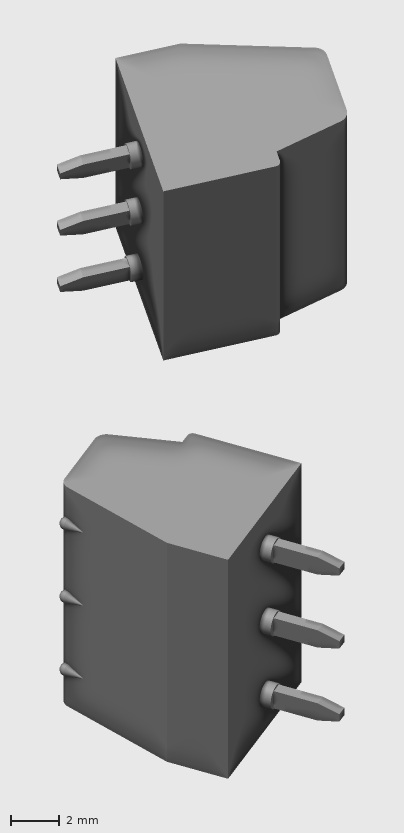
import cadquery as cq
import math

TOTAL_DEPTH = 12

BODY_WIDTH = 7.3
BODY_DEPTH = 8.5
BODY_HEIGHT = 11.42
LEFT_WALL_DEPTH = 2.8
LEFT_SLOPE = math.radians(18)
RIGHT_WALL_DEPTH = 5.1
RIGHT_LEDGE_WIDTH = 0.75
RIGHT_SLOPE = math.radians(15)
BACK_EDGE_RADIUS = 0.54
LEDGE_EDGE_RADIUS = 0.24

POLE_COUNT = 3
POLE_PITCH = BODY_HEIGHT / POLE_COUNT

PIN_X = 3.7
COLLAR_DIAMETER = 1.12
COLLAR_LENGTH = 0.5
PIN_REACH = TOTAL_DEPTH - BODY_DEPTH
PIN_THICKNESS = 0.5
PIN_HEIGHT = 0.9
PIN_TIP_HEIGHT = 0.38
PIN_TIP_LENGTH = 1.0

MARKER_TIP_Y = 7.26
MARKER_RADIUS = 0.29
MARKER_BAND_LENGTH = 0.17
MARKER_DOME_HEIGHT = 0.2

pole_heights = [(i - (POLE_COUNT - 1) / 2) * POLE_PITCH for i in range(POLE_COUNT)]


def slope_x(y):
    """X of the left sloped face at depth y."""
    return (y - LEFT_WALL_DEPTH) * math.tan(LEFT_SLOPE)


def make_housing():
    ledge_x = BODY_WIDTH - RIGHT_LEDGE_WIDTH
    back_right_x = ledge_x - (BODY_DEPTH - RIGHT_WALL_DEPTH) * math.tan(RIGHT_SLOPE)
    outline = [
        (0, 0),
        (BODY_WIDTH, 0),
        (BODY_WIDTH, RIGHT_WALL_DEPTH),
        (ledge_x, RIGHT_WALL_DEPTH),
        (back_right_x, BODY_DEPTH),
        (slope_x(BODY_DEPTH), BODY_DEPTH),
        (0, LEFT_WALL_DEPTH),
    ]
    housing = cq.Workplane("XY").polyline(outline).close().extrude(BODY_HEIGHT / 2, both=True)
    housing = housing.edges("|Z").edges(">Y").fillet(BACK_EDGE_RADIUS)
    ledge_corner = cq.selectors.NearestToPointSelector((BODY_WIDTH, RIGHT_WALL_DEPTH, 0))
    return housing.edges("|Z").edges(ledge_corner).fillet(LEDGE_EDGE_RADIUS)


def make_pin(z):
    collar = (
        cq.Workplane("XZ", origin=(PIN_X, 0, z))
        .circle(COLLAR_DIAMETER / 2)
        .extrude(COLLAR_LENGTH)
    )
    taper_start_y = PIN_TIP_LENGTH - PIN_REACH
    blade = (
        cq.Workplane("YZ", origin=(PIN_X, 0, z))
        .polyline([
            (0, PIN_HEIGHT / 2),
            (taper_start_y, PIN_HEIGHT / 2),
            (-PIN_REACH, PIN_TIP_HEIGHT / 2),
            (-PIN_REACH, -PIN_TIP_HEIGHT / 2),
            (taper_start_y, -PIN_HEIGHT / 2),
            (0, -PIN_HEIGHT / 2),
        ])
        .close()
        .extrude(PIN_THICKNESS / 2, both=True)
    )
    return collar.union(blade)


def make_marker(z):
    """Cone, short cylinder and domed end; the axis lies in the slope and the cone flank runs along Y."""
    cone_length = MARKER_RADIUS / math.tan(LEFT_SLOPE)
    dome_start = cone_length + MARKER_BAND_LENGTH
    dome_top = dome_start + MARKER_DOME_HEIGHT
    dome_radius = (MARKER_RADIUS**2 + MARKER_DOME_HEIGHT**2) / (2 * MARKER_DOME_HEIGHT)
    dome_half_angle = math.asin(MARKER_RADIUS / dome_radius)
    dome_middle = (
        dome_radius * math.sin(dome_half_angle / 2),
        dome_top - dome_radius * (1 - math.cos(dome_half_angle / 2)),
    )
    profile = (
        cq.Workplane("XY")
        .lineTo(MARKER_RADIUS, cone_length)
        .lineTo(MARKER_RADIUS, dome_start)
        .threePointArc(dome_middle, (0, dome_top))
        .close()
    )
    marker = profile.revolve(360, (0, 0, 0), (0, 1, 0))
    tilted = marker.rotate((0, 0, 0), (0, 0, 1), -math.degrees(LEFT_SLOPE))
    return tilted.translate((slope_x(MARKER_TIP_Y), MARKER_TIP_Y, z))


result = make_housing()
for height in pole_heights:
    result = result.union(make_pin(height)).union(make_marker(height))